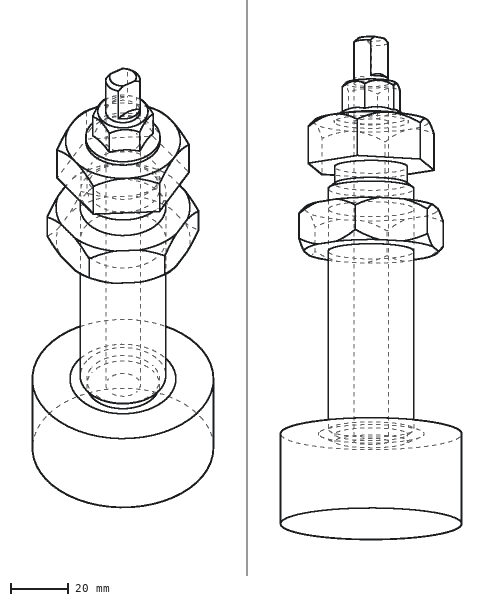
import cadquery as cq
import math

TOTAL_HEIGHT = 172.5

BASE_DIAMETER = 63.5
BASE_HEIGHT = 32.0
SEAT_DIAMETER = 37.0
SEAT_SLOPE = 25.0

SLEEVE_DIAMETER = 30.0
SHANK_BOTTOM_GAP = 1.5
SHANK_TOP = 119.2
SHANK_CHAMFER_HEIGHT = 1.7
NECK_DIAMETER = 25.5
HEAD_ACROSS_FLATS = 40.2
HEAD_BOTTOM = 127.0
HEAD_HEIGHT = 16.0
HEAD_FACE_DIAMETER = 40.2
HEAD_CHAMFER_HEIGHT = 3.1

LOCK_NUT_ACROSS_FLATS = 46.0
LOCK_NUT_BOTTOM = 97.0
LOCK_NUT_HEIGHT = 15.0
LOCK_NUT_FACE_DIAMETER = 46.9
LOCK_NUT_CHAMFER_HEIGHT = 3.1

FLANGE_NUT_ACROSS_FLATS = 18.5
FLANGE_NUT_HEIGHT = 13.6
FLANGE_NUT_FACE_DIAMETER = 17.6
FLANGE_NUT_CHAMFER_HEIGHT = 1.9
FLANGE_DIAMETER = 26.0
FLANGE_RIM_HEIGHT = 1.5
FLANGE_SLOPE = 30.0

STUD_DIAMETER = 12.0
STUD_CHAMFER = 1.4
ACROSS_STUD_FLATS = 8.0
FLATS_BOTTOM = 158.3
FLATS_SHOULDER_SLOPE = 30.0

seat_radius = SEAT_DIAMETER / 2
foot_radius = NECK_DIAMETER / 2
seat_depth = (seat_radius - foot_radius) * math.tan(math.radians(SEAT_SLOPE))
sleeve_bottom = BASE_HEIGHT - seat_depth
head_top = HEAD_BOTTOM + HEAD_HEIGHT


def cylinder(diameter, bottom, top):
    return cq.Workplane("XY").workplane(offset=bottom).circle(diameter / 2).extrude(top - bottom)


def revolved(profile):
    """Turn a closed (radius, height) profile around the Z axis."""
    return cq.Workplane("XZ").polyline(profile).close().revolve(360, (0, 0), (0, 1))


def hex_block(across_flats, bottom, height, face_diameter, chamfer_height, both_ends=False):
    """Hexagon with corners on the X axis, its corners turned off conically at the top or both ends."""
    corner_radius = across_flats / math.sqrt(3)
    face_radius = face_diameter / 2
    top = bottom + height
    prism = cq.Workplane("XY").workplane(offset=bottom).polygon(6, 2 * corner_radius).extrude(height)
    if both_ends:
        lower_edge = [(face_radius, bottom), (corner_radius, bottom + chamfer_height)]
    else:
        lower_edge = [(corner_radius, bottom)]
    envelope = revolved(
        [(0, bottom)] + lower_edge + [(corner_radius, top - chamfer_height), (face_radius, top), (0, top)]
    )
    return prism.intersect(envelope)


def make_base():
    block = cylinder(BASE_DIAMETER, 0, BASE_HEIGHT)
    seat = revolved(
        [(0, sleeve_bottom), (foot_radius, sleeve_bottom), (seat_radius, BASE_HEIGHT), (0, BASE_HEIGHT)]
    )
    return block.cut(seat)


def make_sleeve():
    shank_radius = SLEEVE_DIAMETER / 2
    shank_bottom = BASE_HEIGHT + SHANK_BOTTOM_GAP
    neck_radius = NECK_DIAMETER / 2
    shank = revolved([
        (0, sleeve_bottom),
        (foot_radius, sleeve_bottom),
        (foot_radius, shank_bottom - SHANK_CHAMFER_HEIGHT),
        (shank_radius, shank_bottom),
        (shank_radius, SHANK_TOP),
        (neck_radius, SHANK_TOP + SHANK_CHAMFER_HEIGHT),
        (neck_radius, HEAD_BOTTOM),
        (0, HEAD_BOTTOM),
    ])
    head = hex_block(HEAD_ACROSS_FLATS, HEAD_BOTTOM, HEAD_HEIGHT, HEAD_FACE_DIAMETER, HEAD_CHAMFER_HEIGHT)
    bore = cylinder(STUD_DIAMETER, sleeve_bottom, head_top)
    return shank.union(head).cut(bore)


def make_lock_nut():
    nut = hex_block(
        LOCK_NUT_ACROSS_FLATS,
        LOCK_NUT_BOTTOM,
        LOCK_NUT_HEIGHT,
        LOCK_NUT_FACE_DIAMETER,
        LOCK_NUT_CHAMFER_HEIGHT,
        both_ends=True,
    )
    return nut.cut(cylinder(SLEEVE_DIAMETER, LOCK_NUT_BOTTOM, LOCK_NUT_BOTTOM + LOCK_NUT_HEIGHT))


def make_flange_nut():
    nut_top = head_top + FLANGE_NUT_HEIGHT
    rim_top = head_top + FLANGE_RIM_HEIGHT
    rim_radius = FLANGE_DIAMETER / 2
    cone_height = rim_radius * math.tan(math.radians(FLANGE_SLOPE))
    nut = hex_block(
        FLANGE_NUT_ACROSS_FLATS,
        head_top,
        FLANGE_NUT_HEIGHT,
        FLANGE_NUT_FACE_DIAMETER,
        FLANGE_NUT_CHAMFER_HEIGHT,
    )
    flange = revolved(
        [(0, head_top), (rim_radius, head_top), (rim_radius, rim_top), (0, rim_top + cone_height)]
    )
    return nut.union(flange).cut(cylinder(STUD_DIAMETER, head_top, nut_top))


def make_stud():
    radius = STUD_DIAMETER / 2
    stud = cylinder(STUD_DIAMETER, sleeve_bottom, TOTAL_HEIGHT).faces(">Z").chamfer(STUD_CHAMFER)
    cone_height = radius * math.tan(math.radians(FLATS_SHOULDER_SLOPE))
    shoulder = revolved([(0, FLATS_BOTTOM), (radius, FLATS_BOTTOM), (0, FLATS_BOTTOM + cone_height)])
    tip_plane = cq.Workplane("XY").workplane(offset=FLATS_BOTTOM)
    tip_height = TOTAL_HEIGHT - FLATS_BOTTOM
    envelope = tip_plane.rect(STUD_DIAMETER, STUD_DIAMETER).extrude(tip_height)
    blade = tip_plane.rect(ACROSS_STUD_FLATS, STUD_DIAMETER).extrude(tip_height)
    return stud.cut(envelope.cut(blade).cut(shoulder))


base = make_base()
sleeve = make_sleeve()
lock_nut = make_lock_nut()
flange_nut = make_flange_nut()
stud = make_stud()

result = cq.Compound.makeCompound([base.val(), sleeve.val(), lock_nut.val(), flange_nut.val(), stud.val()])